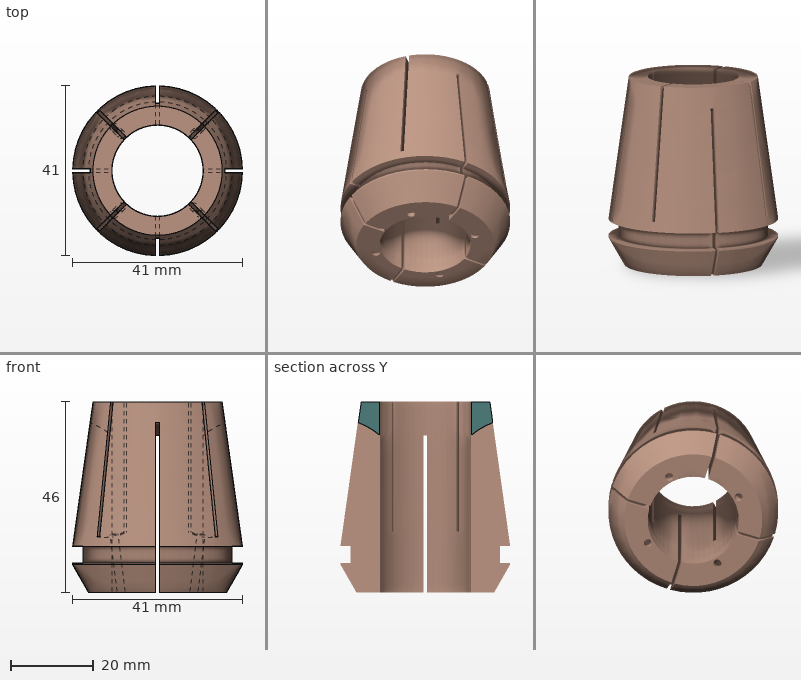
import cadquery as cq
import math

height = 46.0
outer_diameter = 41.0
top_diameter = 31.2
bottom_diameter = 33.3
bore_diameter = 22.0

groove_diameter = 36.05
groove_bottom = 7.1
groove_top = 11.15
nose_rim_height = 0.35

slot_width = 0.87
slots_per_set = 4
saw_radius = 17.95
lower_slot_outer_end = 41.0
lower_slot_inner_end = 37.85
upper_slot_outer_end = 13.5
upper_slot_inner_end = 14.65

floor_hole_diameter = 1.95
floor_hole_center_radius = 14.75
floor_hole_tilt = 10.0
floor_hole_lead = 0.55

overcut = 2.3

outer_radius = outer_diameter / 2
top_radius = top_diameter / 2
bottom_radius = bottom_diameter / 2
bore_radius = bore_diameter / 2
groove_radius = groove_diameter / 2


def taper_radius(z):
    """Radius of the long taper at height z."""
    fraction = (z - groove_top) / (height - groove_top)
    return outer_radius + fraction * (top_radius - outer_radius)


def collet_body():
    """Revolved body: nose cone, thin rim, groove, long taper and through bore."""
    return (
        cq.Workplane("XZ")
        .moveTo(bore_radius, 0)
        .lineTo(bottom_radius, 0)
        .lineTo(outer_radius, groove_bottom - nose_rim_height)
        .lineTo(outer_radius, groove_bottom)
        .lineTo(groove_radius, groove_bottom)
        .lineTo(groove_radius, groove_top)
        .lineTo(outer_radius, groove_top)
        .lineTo(top_radius, height)
        .lineTo(bore_radius, height)
        .close()
        .revolve(360, (0, 0, 0), (0, 1, 0))
    )


def arc_middle(start, end, bulge_direction):
    """Middle point of a saw arc that bulges up (+1) or down (-1) from its chord."""
    run = end[0] - start[0]
    rise = end[1] - start[1]
    chord = math.hypot(run, rise)
    sagitta = saw_radius - math.sqrt(saw_radius**2 - (chord / 2) ** 2)
    offset = bulge_direction * sagitta / chord
    return (
        (start[0] + end[0]) / 2 - offset * rise,
        (start[1] + end[1]) / 2 + offset * run,
    )


def slot_cutter(outer_end, inner_end, open_end, bulge_direction):
    """Radial blade along +X from the open end of the collet to the arc-shaped slot end."""
    inner_point = (bore_radius, inner_end)
    outer_point = (taper_radius(outer_end), outer_end)
    inner_clear = bore_radius - overcut
    outer_clear = outer_radius + overcut
    return (
        cq.Workplane("XZ")
        .moveTo(inner_clear, open_end)
        .lineTo(inner_clear, inner_end)
        .lineTo(*inner_point)
        .threePointArc(arc_middle(inner_point, outer_point, bulge_direction), outer_point)
        .lineTo(outer_clear, outer_end)
        .lineTo(outer_clear, open_end)
        .close()
        .extrude(slot_width / 2, both=True)
    )


def floor_hole_cutter():
    """Hole from the upper slot floor to the bottom face, leaning toward the axis as it goes down."""
    mouth = cq.Vector(floor_hole_center_radius, 0, upper_slot_outer_end)
    tilt = math.radians(floor_hole_tilt)
    length = (upper_slot_outer_end + overcut) / math.cos(tilt)
    downward = cq.Vector(-math.sin(tilt), 0, -math.cos(tilt))
    return cq.Workplane(
        cq.Solid.makeCylinder(
            floor_hole_diameter / 2,
            length + floor_hole_lead,
            mouth - downward * floor_hole_lead,
            downward,
        )
    )


lower_slot = slot_cutter(lower_slot_outer_end, lower_slot_inner_end, -overcut, 1)
upper_slot = slot_cutter(upper_slot_outer_end, upper_slot_inner_end, height + overcut, -1)
floor_hole = floor_hole_cutter()
slot_pitch = 360 / slots_per_set

result = collet_body()
for index in range(slots_per_set):
    lower_angle = index * slot_pitch
    upper_angle = lower_angle + slot_pitch / 2
    result = result.cut(lower_slot.rotate((0, 0, 0), (0, 0, 1), lower_angle))
    result = result.cut(upper_slot.rotate((0, 0, 0), (0, 0, 1), upper_angle))
    result = result.cut(floor_hole.rotate((0, 0, 0), (0, 0, 1), upper_angle))